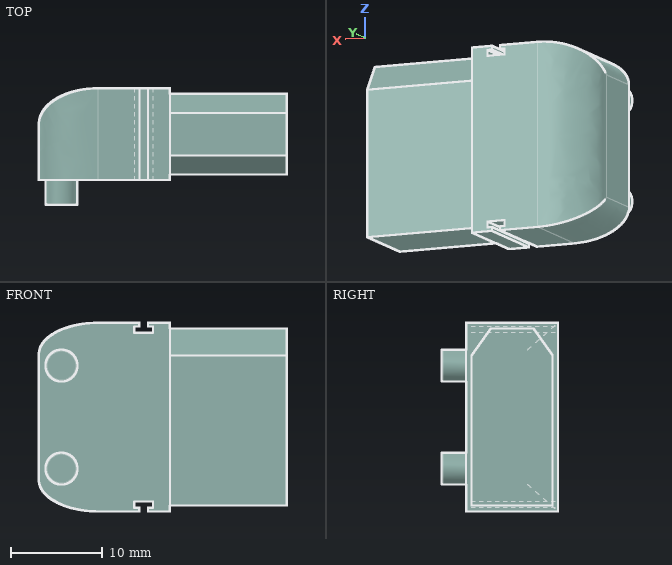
import cadquery as cq

total_length = 27.2
body_length = 14.4
body_depth = 10.1
body_height = 20.7

round_length = 6.5
round_side = 3.5
round_back = 3.97

slot_center_x = 11.5
slot_mouth_width = 0.95
slot_width = 2.0
slot_lip = 0.44
slot_depth = 1.1

plug_depth = 8.87
plug_height = 19.42
bevel_depth = 2.1
bevel_height = 2.95

pin_diameter = 3.5
pin_length = 2.72
pin_center_x = 2.5
pin_spacing = 11.3
pin_edge_radius = 0.15

half_height = body_height / 2
plug_length = total_length - body_length


def make_body():
    """Intersect a side-rounded outline with a back-rounded one to get mitred rounds."""
    shoulder = half_height - round_side
    side_outline = (
        cq.Workplane("XZ")
        .moveTo(0, -shoulder)
        .lineTo(0, shoulder)
        .ellipseArc(round_length, round_side, 90, 180, startAtCurrent=True, sense=-1)
        .lineTo(body_length, half_height)
        .lineTo(body_length, -half_height)
        .lineTo(round_length, -half_height)
        .ellipseArc(round_length, round_side, 180, 270, startAtCurrent=True, sense=-1)
        .close()
        .extrude(-body_depth)
    )
    back_outline = (
        cq.Workplane("XY", origin=(0, 0, -half_height))
        .moveTo(0, 0)
        .lineTo(0, body_depth - round_back)
        .ellipseArc(round_length, round_back, 90, 180, startAtCurrent=True, sense=-1)
        .lineTo(body_length, body_depth)
        .lineTo(body_length, 0)
        .close()
        .extrude(body_height)
    )
    return side_outline.intersect(back_outline)


def make_top_slot():
    """T-slot running the full depth of the body, open at its top."""
    floor = half_height - slot_depth
    mouth = cq.Workplane("XY").box(
        slot_mouth_width, body_depth, slot_depth, centered=(True, False, False)
    )
    undercut = cq.Workplane("XY").box(
        slot_width, body_depth, slot_depth - slot_lip, centered=(True, False, False)
    )
    return mouth.union(undercut).translate((slot_center_x, 0, floor))


def make_plug():
    """Bar extending from the middle of the body's rear face."""
    half_depth = plug_depth / 2
    top = plug_height / 2
    profile = [
        (-half_depth, -top),
        (half_depth, -top),
        (half_depth, top - bevel_height),
        (half_depth - bevel_depth, top),
        (bevel_depth - half_depth, top),
        (-half_depth, top - bevel_height),
    ]
    return (
        cq.Workplane("YZ", origin=(body_length, body_depth / 2, 0))
        .polyline(profile)
        .close()
        .extrude(plug_length)
    )


def make_pin(center_z):
    """Pin standing out from the front face, with a rounded free edge."""
    return (
        cq.Workplane("XZ", origin=(pin_center_x, 0, center_z))
        .circle(pin_diameter / 2)
        .extrude(pin_length)
        .faces("<Y")
        .edges()
        .fillet(pin_edge_radius)
    )


top_slot = make_top_slot()
bottom_slot = top_slot.mirror("XY")

result = make_body().cut(top_slot).cut(bottom_slot).union(make_plug())
for side in (-1, 1):
    result = result.union(make_pin(side * pin_spacing / 2))